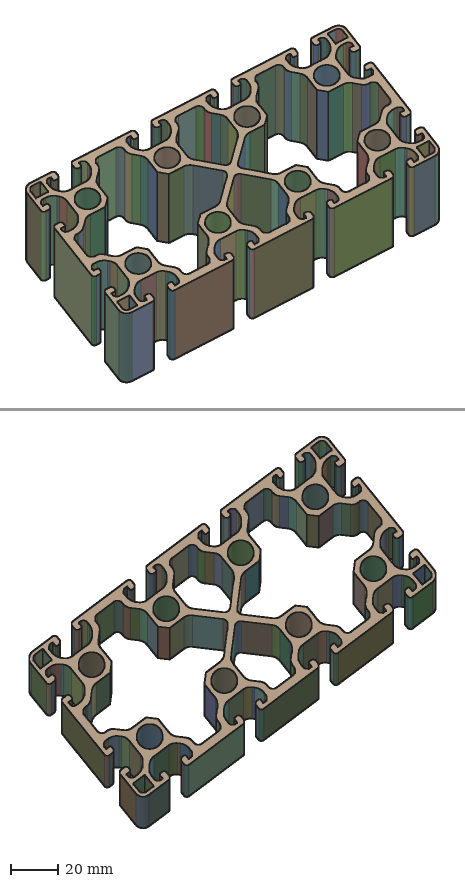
import cadquery as cq
import math

CELL = 40.0
COLUMNS = 2
ROWS = 4
LENGTH = 50.0
WIDTH = COLUMNS * CELL
HEIGHT = ROWS * CELL
OUTER_CORNER_RADIUS = 4.0

BORE_DIAMETER = 11.0
CORE_HALF_WIDTH = 7.6
CORE_CHAMFER = 3.6

SLOT_HALF_OPENING = 4.0
SLOT_LIP_HALF_INNER = 7.0
SLOT_HALF_WIDTH = 10.0
SLOT_LIP_DEPTH = 4.5
SLOT_UNDERCUT_DEPTH = 2.1
SLOT_DEPTH = 12.0
SLOT_FLANK_SUM = 18.0
LIP_RADIUS = 1.5
LIP_HEEL_RADIUS = 0.5
UNDERCUT_RADIUS = 2.0
SLOT_FLANK_RADIUS = 6.0
SLOT_FLOOR_RADIUS = 5.0
MOUTH_OVERSHOOT = 1.0

FACE_WALL = 4.0
SHOULDER_HALF_WIDTH = 13.1
SHOULDER_FLANK_SUM = 22.1
CAVITY_CORNER_RADIUS = 2.5
SHOULDER_RADIUS = 4.5
CORE_RADIUS = 5.0

WEB_THICKNESS = 3.0
WEB_APEX_RADIUS = 2.5
WEB_ROOT_RADIUS = 5.0
WEB_OFFSET = WEB_THICKNESS / math.sqrt(2)

TUBE_WALL = 1.75
TUBE_SLOT_WALL = 2.0
TUBE_END = CELL / 2 - SLOT_HALF_WIDTH - TUBE_SLOT_WALL
TUBE_CORNER_RADIUS = OUTER_CORNER_RADIUS - TUBE_WALL


def corner_cut(previous, corner, following):
    """Start, middle and end of the arc that rounds an (x, y, radius) corner."""
    x, y, radius = corner
    bearing_in = math.atan2(previous[1] - y, previous[0] - x)
    bearing_out = math.atan2(following[1] - y, following[0] - x)
    half_angle = math.acos(math.cos(bearing_in - bearing_out)) / 2
    setback = radius / math.tan(half_angle)
    start_x = x + setback * math.cos(bearing_in)
    start_y = y + setback * math.sin(bearing_in)
    end_x = x + setback * math.cos(bearing_out)
    end_y = y + setback * math.sin(bearing_out)
    bisector_x = (start_x + end_x) / 2 - x
    bisector_y = (start_y + end_y) / 2 - y
    apex_ratio = (radius / math.sin(half_angle) - radius) / math.hypot(bisector_x, bisector_y)
    middle = (x + bisector_x * apex_ratio, y + bisector_y * apex_ratio)
    return (start_x, start_y), middle, (end_x, end_y)


def rounded_prism(corners):
    """Extrude a closed outline of (x, y, radius) corners along the full length."""
    sketch = cq.Workplane("XY")
    started = False
    for index, corner in enumerate(corners):
        following = corners[(index + 1) % len(corners)]
        if corner[2] > 0:
            start, middle, end = corner_cut(corners[index - 1], corner, following)
        else:
            start = corner[:2]
        sketch = sketch.lineTo(*start) if started else sketch.moveTo(*start)
        started = True
        if corner[2] > 0:
            sketch = sketch.threePointArc(middle, end)
    return sketch.close().extrude(LENGTH)


def mirrored_x(corners):
    """Mirror corners left to right, in reverse order so that they continue an outline."""
    return [(-x, y, radius) for x, y, radius in reversed(corners)]


def mirrored_y(corners, axis_y=0.0):
    """Mirror corners about a line of constant Y, in reverse order."""
    return [(x, 2 * axis_y - y, radius) for x, y, radius in reversed(corners)]


def slot_cutter():
    """T-slot centred on the origin, opening towards +Y with its face on Y = 0."""
    half = [
        (SLOT_HALF_OPENING, MOUTH_OVERSHOOT, 0),
        (SLOT_HALF_OPENING, -SLOT_LIP_DEPTH, LIP_RADIUS),
        (SLOT_LIP_HALF_INNER, -SLOT_LIP_DEPTH, LIP_HEEL_RADIUS),
        (SLOT_LIP_HALF_INNER, -SLOT_UNDERCUT_DEPTH, 0),
        (SLOT_HALF_WIDTH, -SLOT_UNDERCUT_DEPTH, UNDERCUT_RADIUS),
        (SLOT_HALF_WIDTH, SLOT_HALF_WIDTH - SLOT_FLANK_SUM, SLOT_FLANK_RADIUS),
        (SLOT_FLANK_SUM - SLOT_DEPTH, -SLOT_DEPTH, SLOT_FLOOR_RADIUS),
    ]
    return rounded_prism(half + mirrored_x(half))


def shoulder():
    """(along face, depth, radius) corners of the cavity wall beside a slot, from face to core."""
    return [
        (SHOULDER_HALF_WIDTH, FACE_WALL, CAVITY_CORNER_RADIUS),
        (SHOULDER_HALF_WIDTH, SHOULDER_FLANK_SUM - SHOULDER_HALF_WIDTH, SHOULDER_RADIUS),
        (CORE_HALF_WIDTH, SHOULDER_FLANK_SUM - CORE_HALF_WIDTH, CORE_RADIUS),
    ]


def side_shoulder_below(core_y):
    """Shoulder under the left-face slot of the core at core_y, from core to face."""
    return [(depth - WIDTH / 2, core_y - along, radius) for along, depth, radius in reversed(shoulder())]


def core_corner(core_x, core_y):
    """Chamfered lower right corner of a core, from its right side to its bottom."""
    flat = CORE_HALF_WIDTH - CORE_CHAMFER
    return [
        (core_x + CORE_HALF_WIDTH, core_y - flat, 0),
        (core_x + flat, core_y - CORE_HALF_WIDTH, 0),
    ]


def end_cavity():
    """Large cavity between the +Y face and the cross web."""
    core_x = -CELL / 2
    upper_core_y = HEIGHT / 2 - CELL / 2
    face_half = [(core_x + along, HEIGHT / 2 - depth, radius) for along, depth, radius in shoulder()]
    side_half = core_corner(core_x, upper_core_y) + side_shoulder_below(upper_core_y)
    web_root_x = core_x + CORE_HALF_WIDTH
    web_root = [(web_root_x, WEB_OFFSET - web_root_x, WEB_ROOT_RADIUS)]
    web_apex = [(0, WEB_OFFSET, WEB_APEX_RADIUS)]
    left = face_half + side_half + mirrored_y(side_half, HEIGHT / 4) + web_root
    return rounded_prism(left + web_apex + mirrored_x(left))


def side_cavity():
    """Cavity between the -X face and the cross web."""
    web_root_y = CELL / 2 - CORE_HALF_WIDTH
    web_root = [(-WEB_OFFSET - web_root_y, web_root_y, WEB_ROOT_RADIUS)]
    web_apex = [(-WEB_OFFSET, 0, WEB_APEX_RADIUS)]
    upper = web_root + side_shoulder_below(CELL / 2)
    return rounded_prism(upper + mirrored_y(upper) + web_apex)


def corner_tube():
    """Square opening in the (-X, +Y) corner."""
    left = TUBE_WALL - WIDTH / 2
    right = TUBE_END - WIDTH / 2
    top = HEIGHT / 2 - TUBE_WALL
    bottom = HEIGHT / 2 - TUBE_END
    corners = [
        (left, top, TUBE_CORNER_RADIUS),
        (right, top, 0),
        (right, bottom, 0),
        (left, bottom, 0),
    ]
    return rounded_prism(corners)


def with_slots(body):
    """Cut one slot per cell along all four faces."""
    cutter = slot_cutter()
    for turn, count, depth in ((0, COLUMNS, HEIGHT / 2), (90, ROWS, WIDTH / 2)):
        for index in range(count):
            along = (index - (count - 1) / 2) * CELL
            placed = cutter.translate((along, depth, 0))
            for facing in (turn, turn + 180):
                body = body.cut(placed.rotate((0, 0, 0), (0, 0, 1), facing))
    return body


def with_cavities(body):
    """Cut the four cavities around the cross web and the four corner tubes."""
    for cavity, mirror_plane in ((end_cavity(), "XZ"), (side_cavity(), "YZ")):
        body = body.cut(cavity).cut(cavity.mirror(mirror_plane))
    tube = corner_tube()
    tubes_at_top = tube.union(tube.mirror("YZ"))
    return body.cut(tubes_at_top).cut(tubes_at_top.mirror("XZ"))


def with_bores(body):
    """Drill the core bore of every cell through the full length."""
    bores = (
        cq.Workplane("XY")
        .rarray(CELL, CELL, COLUMNS, ROWS)
        .circle(BORE_DIAMETER / 2)
        .extrude(LENGTH)
    )
    return body.cut(bores)


def with_rounded_mouths(body):
    """Round the edges where the slot mouths meet the outer faces."""
    tolerance = 0.01
    edges = []
    for edge in body.edges("|Z").vals():
        centre = edge.Center()
        for along, across, face in ((centre.x, centre.y, HEIGHT / 2), (centre.y, centre.x, WIDTH / 2)):
            from_slot = abs((along % CELL) - CELL / 2)
            if abs(abs(across) - face) < tolerance and abs(from_slot - SLOT_HALF_OPENING) < tolerance:
                edges.append(edge)
    return body.newObject(edges).fillet(LIP_RADIUS)


blank = cq.Workplane("XY").box(WIDTH, HEIGHT, LENGTH, centered=(True, True, False))
blank = blank.edges("|Z").fillet(OUTER_CORNER_RADIUS)
result = with_rounded_mouths(with_bores(with_cavities(with_slots(blank))))